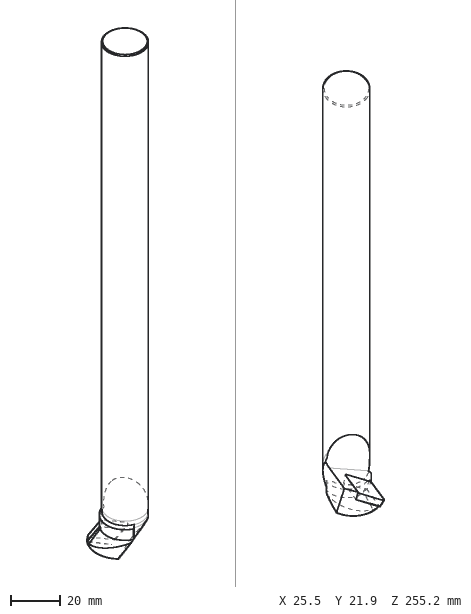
import cadquery as cq
import math

total_length = 255.2
total_width = 25.5
shank_radius = 9.57
shank_chamfer = 0.5

neck_radius = 9.32
neck_top = 19.0
neck_bottom = 16.3
collar_radius = 10.5
collar_top = 15.0
collar_bottom = 9.7
collar_side_x = 6.5

flare_slope = 0.62
head_bottom = 1.0
clearance_x = -2.5
clearance_y = 1.15
clearance_radius = 13.5

side_cut_top = 14.8
side_cut_bottom_x = 0.5

flank_offset = 0.13
shoulder_distance = 12.5

tip_y = -0.13
insert_side = 11.5
insert_angle = 55
end_edge_angle = 3
insert_thickness = 4.0
insert_relief = 7
nose_radius = 0.5
rake_angle = 5

nose_distance = nose_radius / math.sin(math.radians(insert_angle / 2))
nose_direction = math.radians(end_edge_angle + insert_angle / 2)
tip_x = shank_radius - total_width + nose_radius - nose_distance * math.cos(nose_direction)
tip_z = nose_radius - nose_distance * math.sin(nose_direction)

gullet_radius = 12.8
gullet_arc_start = 13.8
gullet_lean = 15.6

cut_reach = 51


def in_rake_plane(shape):
    """Move a shape from local axes at the insert's tip into the turned rake plane."""
    return shape.rotate((0, 0, 0), (0, 0, 1), rake_angle).translate((tip_x, tip_y, tip_z))


def point_along(length, degrees):
    """Point at a distance and angle from the insert's tip, within the rake face."""
    angle = math.radians(degrees)
    return (length * math.cos(angle), length * math.sin(angle))


side_edge_angle = end_edge_angle + insert_angle
end_corner = point_along(insert_side, end_edge_angle)
side_corner = point_along(insert_side, side_edge_angle)
far_corner = (end_corner[0] + side_corner[0], end_corner[1] + side_corner[1])


def make_insert():
    """Diamond insert, tapering back from the rake face."""
    outline = (
        cq.Sketch()
        .polygon([(0, 0), end_corner, far_corner, side_corner, (0, 0)])
        .vertices()
        .fillet(nose_radius)
    )
    diamond = cq.Workplane("XZ").placeSketch(outline).extrude(insert_thickness, taper=insert_relief)
    return in_rake_plane(diamond)


def make_shank():
    """Round shank with its end chamfer and neck groove, down to the end of the head."""
    profile = [
        (0, head_bottom),
        (shank_radius, head_bottom),
        (shank_radius, collar_top),
        (neck_radius, neck_bottom),
        (shank_radius, neck_top),
        (shank_radius, total_length - shank_chamfer),
        (shank_radius - shank_chamfer, total_length),
        (0, total_length),
    ]
    return cq.Workplane("XZ").polyline(profile).close().revolve(360, (0, 0), (0, 1))


def make_head():
    """Collar and flared head, kept inside the clearance cylinder and trimmed at the collar's side."""
    bottom_radius = collar_radius + flare_slope * (collar_bottom - head_bottom)
    profile = [
        (0, head_bottom),
        (bottom_radius, head_bottom),
        (collar_radius, collar_bottom),
        (collar_radius, collar_top),
        (neck_radius, neck_bottom),
        (0, neck_bottom),
    ]
    head = cq.Workplane("XZ").polyline(profile).close().revolve(360, (0, 0), (0, 1))
    clearance = (
        cq.Workplane("XY").center(clearance_x, clearance_y).circle(clearance_radius).extrude(neck_bottom)
    )
    beyond_collar = (
        cq.Workplane("XY")
        .box(cut_reach, 2 * cut_reach, neck_bottom, centered=(False, True, False))
        .translate((collar_side_x, 0, 0))
    )
    return head.intersect(clearance).cut(beyond_collar)


def make_gullet():
    """Chip gullet cutter: everything behind the rake flat, below the arc."""
    arc_middle = gullet_radius * math.sqrt(0.5)
    cutter = (
        cq.Workplane("YZ")
        .moveTo(0, -cut_reach)
        .lineTo(0, 0)
        .threePointArc((gullet_radius - arc_middle, arc_middle), (gullet_radius, gullet_radius))
        .lineTo(cut_reach, gullet_radius)
        .lineTo(cut_reach, -cut_reach)
        .close()
        .extrude(cut_reach, both=True)
    )
    flat_y = tip_y - tip_x * math.tan(math.radians(rake_angle))
    return (
        cutter.rotate((0, 0, 0), (0, 1, 0), gullet_lean)
        .rotate((0, 0, 0), (0, 0, 1), rake_angle)
        .translate((0, flat_y, gullet_arc_start))
    )


def make_side_cut():
    """Cutter below the sloping side of the head."""
    return (
        cq.Workplane("XZ")
        .polyline(
            [(shank_radius, side_cut_top), (side_cut_bottom_x, 0), (cut_reach, 0), (cut_reach, side_cut_top)]
        )
        .close()
        .extrude(cut_reach, both=True)
    )


def make_flank_cut():
    """Wedge outside the flank flat, with the insert's relief and a square shoulder at its upper end."""
    relief_run = cut_reach * math.tan(math.radians(insert_relief))
    wedge = (
        cq.Workplane("XY", origin=(0, 0, -cut_reach))
        .polyline(
            [
                (flank_offset - relief_run, cut_reach),
                (flank_offset + relief_run, -cut_reach),
                (-cut_reach, -cut_reach),
                (-cut_reach, cut_reach),
            ]
        )
        .close()
        .extrude(cut_reach + shoulder_distance)
        .rotate((0, 0, 0), (0, 1, 0), 90 - side_edge_angle)
    )
    return in_rake_plane(wedge)


def make_bar(insert):
    """Bar with its head shaped and a seat that matches the insert."""
    bar = make_shank().union(make_head())
    return bar.cut(make_gullet()).cut(make_side_cut()).cut(make_flank_cut()).cut(insert)


insert = make_insert()
bar = make_bar(insert)
result = cq.Compound.makeCompound([bar.val(), insert.val()])